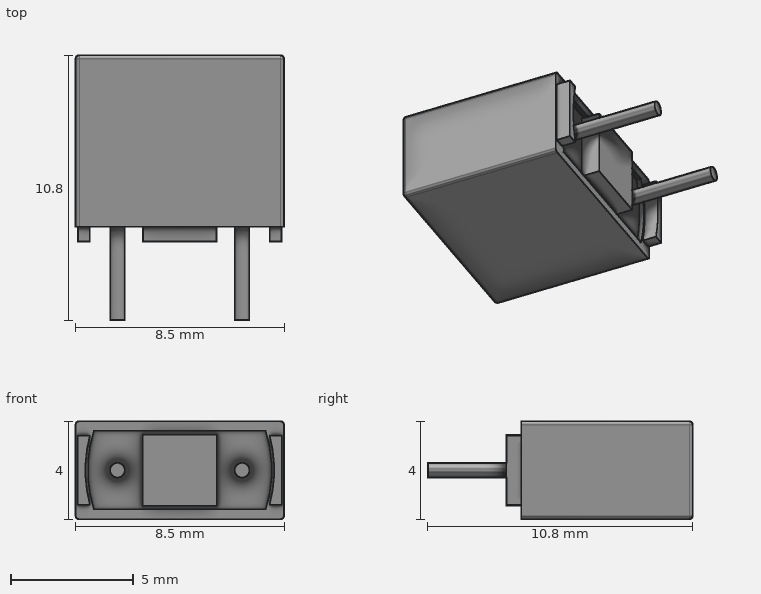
import cadquery as cq
import math

body_width = 8.5
body_depth = 7.0
body_height = 4.0
edge_radius = 0.15

recess_depth = 0.2
recess_height = 3.2
recess_corner_x = 3.5
recess_bow = 0.25

standoff_height = 0.6
pad_width = 3.0
pad_height = 2.9
foot_height = 2.8
foot_outer_x = 4.15
foot_gap = 0.1

pin_diameter = 0.6
pin_pitch = 5.08
pin_reach = 3.8

half_recess = recess_height / 2
recess_end_x = recess_corner_x + recess_bow
bow_radius = (half_recess**2 + recess_bow**2) / (2 * recess_bow)
bow_center_x = recess_end_x - bow_radius
foot_arc_radius = bow_radius + foot_gap
foot_inner_x = bow_center_x + foot_arc_radius
foot_corner_x = bow_center_x + math.sqrt(foot_arc_radius**2 - (foot_height / 2) ** 2)


def face_plane(y):
    """Sketch plane at the given Y: local x = X, local y = Z, extrudes toward -Y."""
    return cq.Workplane("XZ", origin=(0, y, 0))


def make_block():
    """Plain block, rounded on every edge except those around the open face."""
    block = face_plane(body_depth).rect(body_width, body_height).extrude(body_depth)
    return block.edges("|Y or >Y").fillet(edge_radius)


def make_recess():
    """Volume removed from the open face."""
    return (
        face_plane(recess_depth)
        .moveTo(-recess_corner_x, half_recess)
        .lineTo(recess_corner_x, half_recess)
        .threePointArc((recess_end_x, 0), (recess_corner_x, -half_recess))
        .lineTo(-recess_corner_x, -half_recess)
        .threePointArc((-recess_end_x, 0), (-recess_corner_x, half_recess))
        .close()
        .extrude(recess_depth)
    )


def make_pad():
    """Central pad rising from the recess floor."""
    return face_plane(recess_depth).rect(pad_width, pad_height).extrude(recess_depth + standoff_height)


def make_foot(side):
    """End foot, hollowed toward the recess; side is -1 for left, +1 for right."""
    half_foot = foot_height / 2
    return (
        face_plane(0)
        .moveTo(side * foot_outer_x, half_foot)
        .lineTo(side * foot_corner_x, half_foot)
        .threePointArc((side * foot_inner_x, 0), (side * foot_corner_x, -half_foot))
        .lineTo(side * foot_outer_x, -half_foot)
        .close()
        .extrude(standoff_height)
    )


def make_housing():
    housing = make_block().cut(make_recess()).union(make_pad())
    for side in (-1, 1):
        housing = housing.union(make_foot(side))
    return housing


def make_pin(side):
    """Round pin standing on the recess floor."""
    return (
        face_plane(recess_depth)
        .center(side * pin_pitch / 2, 0)
        .circle(pin_diameter / 2)
        .extrude(recess_depth + pin_reach)
    )


housing = make_housing()
pins = [make_pin(side) for side in (-1, 1)]

result = cq.Compound.makeCompound([housing.val(), *[pin.val() for pin in pins]])